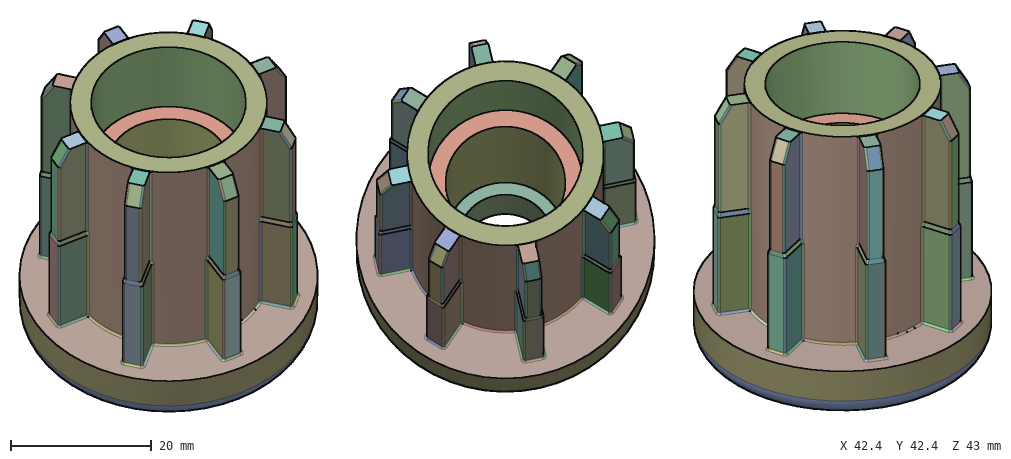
import cadquery as cq
import math

height = 43.0
flange_radius = 21.2
flange_height = 8.0
flange_rounding = 3.0

tube_radius = 13.98
bore_radius = 11.0
bore_floor = 30.9
middle_bore_radius = 8.5
middle_bore_floor = flange_height
hole_radius = 6.65

rib_count = 8
rib_top_drop = 0.15
rib_top = height - rib_top_drop
reach_step = 0.17
half_width_step = 0.25
slope_bottom = 24.25
slope_top = 25.0
upper_reach = 18.55
upper_half_width = 1.25
lower_reach = upper_reach + reach_step
lower_half_width = upper_half_width + half_width_step
lead_in_bottom = 39.9
lead_in_reach = 16.85
rib_inner_end = (bore_radius + tube_radius) / 2

edge_radius = 0.3
root_radius = 0.4
foot_radius = 0.3
root_overlap = 0.01


def polar(radius, angle, center=(0, 0)):
    """Point at a distance and an angle (radians) from a center."""
    return (center[0] + radius * math.cos(angle), center[1] + radius * math.sin(angle))


def mirrored(point):
    """The same point on the other side of the rib."""
    return (point[0], -point[1])


def rib_outline(z, reach, half_width):
    """Closed plan outline of a rib along +X, with rounded outer edges and concave roots."""
    root_distance = tube_radius - root_overlap + root_radius
    root_angle = math.asin((half_width + root_radius) / root_distance)
    root_center = polar(root_distance, root_angle)
    root_start = polar(root_distance - root_radius, root_angle)
    arc_start_angle = root_angle + math.pi
    arc_end_angle = 1.5 * math.pi
    root_mid = polar(root_radius, (arc_start_angle + arc_end_angle) / 2, root_center)
    root_end = (root_center[0], half_width)

    edge_center = (reach - edge_radius, half_width - edge_radius)
    edge_start = (edge_center[0], half_width)
    edge_mid = polar(edge_radius, math.pi / 4, edge_center)
    edge_end = (reach, edge_center[1])

    inner_corner = (rib_inner_end, root_start[1])
    return (
        cq.Workplane("XY", origin=(0, 0, z))
        .moveTo(*inner_corner)
        .lineTo(*root_start)
        .threePointArc(root_mid, root_end)
        .lineTo(*edge_start)
        .threePointArc(edge_mid, edge_end)
        .lineTo(*mirrored(edge_end))
        .threePointArc(mirrored(edge_mid), mirrored(edge_start))
        .lineTo(*mirrored(root_end))
        .threePointArc(mirrored(root_mid), mirrored(root_start))
        .lineTo(*mirrored(inner_corner))
        .close()
    )


def straight_stretch(bottom, top, size):
    """Rib stretch with one (reach, half width) all the way."""
    return rib_outline(bottom, *size).extrude(top - bottom)


def tapered_stretch(bottom, top, bottom_size, top_size):
    """Rib stretch that runs straight from one (reach, half width) to another."""
    wires = [rib_outline(bottom, *bottom_size).val(), rib_outline(top, *top_size).val()]
    return cq.Workplane(cq.Solid.makeLoft(wires, True))


def make_rib():
    lower = (lower_reach, lower_half_width)
    upper = (upper_reach, upper_half_width)
    lead_in = (lead_in_reach, upper_half_width)
    rib = straight_stretch(flange_height, slope_bottom, lower)
    rib = rib.union(tapered_stretch(slope_bottom, slope_top, lower, upper))
    rib = rib.union(straight_stretch(slope_top, lead_in_bottom, upper))
    return rib.union(tapered_stretch(lead_in_bottom, rib_top, upper, lead_in))


def cylinder(radius, bottom, top):
    return cq.Workplane("XY", origin=(0, 0, bottom)).circle(radius).extrude(top - bottom)


def make_flange():
    return cylinder(flange_radius, 0, flange_height).faces("<Z").edges().fillet(flange_rounding)


def round_foot(body):
    """Fillet the whole line where the tube and the ribs stand on the flange."""
    zone_reach = (lower_reach + flange_radius) / 2
    zone_half_height = 0.05
    zone = cq.selectors.BoxSelector(
        (-zone_reach, -zone_reach, flange_height - zone_half_height),
        (zone_reach, zone_reach, flange_height + zone_half_height),
        boundingbox=True,
    )
    return body.edges(zone).fillet(foot_radius)


stem = cylinder(tube_radius, flange_height, height)
rib = make_rib()
for index in range(rib_count):
    stem = stem.union(rib.rotate((0, 0, 0), (0, 0, 1), index * 360 / rib_count))

body = round_foot(make_flange().union(stem))
body = body.cut(cylinder(bore_radius, bore_floor, height))
body = body.cut(cylinder(middle_bore_radius, middle_bore_floor, height))
result = body.cut(cylinder(hole_radius, 0, height))